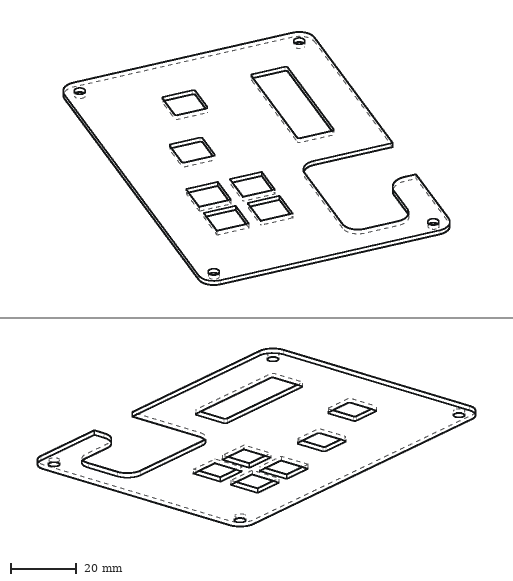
import cadquery as cq

length = 117
width = 82.0
thickness = 1.5
corner_radius = 5.0

hole_diameter = 3.4
hole_inset = 5.0

notch_left = 8.9
notch_right = 49.0
notch_bottom = 10.1
mouth_right = 27.4
tongue_bottom = 31.4
tongue_radius = 6.0

display_length = 37.8
display_width = 11.9
display_center = (-23.2, 21.3)

button_size = 10.8
button_centers = [(-35.5, -8.9), (-10.6, -16.7)]
window_radius = 0.7

key_size = 10.4
key_pitch_x = 14.2
key_pitch_y = 14.4
keypad_center = (20.7, -14.2)


def make_plate():
    """Flat plate with rounded corners."""
    plate = cq.Workplane("XY").box(length, width, thickness, centered=(True, True, False))
    return plate.edges("|Z").fillet(corner_radius)


def make_window(size_x, size_y, center):
    """Rectangular through-cutter."""
    return cq.Workplane("XY").center(*center).rect(size_x, size_y).extrude(thickness)


def make_notch():
    """L-shaped through-cutter; only the two corners on the plate edge stay sharp."""
    top = width / 2
    notch = (
        cq.Workplane("XY")
        .moveTo(notch_left, top)
        .lineTo(notch_left, notch_bottom)
        .lineTo(notch_right, notch_bottom)
        .lineTo(notch_right, tongue_bottom)
        .lineTo(mouth_right, tongue_bottom)
        .lineTo(mouth_right, top)
        .close()
        .extrude(thickness)
    )
    for corner_x, corner_y in [
        (notch_left, notch_bottom),
        (notch_right, notch_bottom),
        (notch_right, tongue_bottom),
    ]:
        corner = cq.NearestToPointSelector((corner_x, corner_y, thickness / 2))
        notch = notch.edges(corner).fillet(corner_radius)
    tongue_corner = cq.NearestToPointSelector((mouth_right, tongue_bottom, thickness / 2))
    return notch.edges(tongue_corner).fillet(tongue_radius)


result = make_plate()

result = (
    result.faces(">Z").workplane(origin=(0, 0, 0))
    .rect(length - 2 * hole_inset, width - 2 * hole_inset, forConstruction=True)
    .vertices()
    .hole(hole_diameter)
)

result = result.cut(make_notch())

display = make_window(display_length, display_width, display_center)
result = result.cut(display.edges("|Z").fillet(window_radius))
for button_center in button_centers:
    button = make_window(button_size, button_size, button_center)
    result = result.cut(button.edges("|Z").fillet(window_radius))

for side_x in (-1, 1):
    for side_y in (-1, 1):
        key_center = (
            keypad_center[0] + side_x * key_pitch_x / 2,
            keypad_center[1] + side_y * key_pitch_y / 2,
        )
        result = result.cut(make_window(key_size, key_size, key_center))